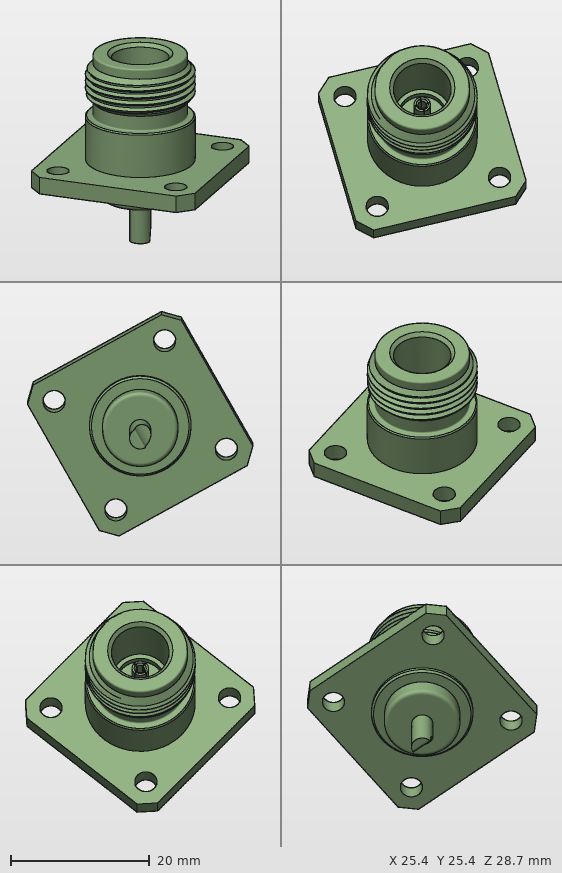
import cadquery as cq
import math

flange_side = 25.4
flange_thickness = 2.54
corner_chamfer = 2.1
mount_hole_diameter = 3.2
mount_hole_spacing = 18.26

body_radius = 7.94
body_height = 6.7
body_edge_chamfer = 0.2
neck_radius = 6.83
neck_root_fillet = 0.2
neck_length = 2.3
collar_length = 5.7
nose_length = 1.45
nose_edge_fillet = 0.25

thread_pitch = 25.4 / 24
thread_root_radius = 7.35
thread_root_flat = thread_pitch / 4
thread_half_angle = math.radians(30)
thread_lead_in = 0.23
thread_start_angle = 180
cutter_overrun = 0.05

pilot_radius = 7.33
pilot_height = 0.8
pilot_chamfer = 0.3
boss_radius = 5.45
boss_drop = 3.55
boss_fillet = 0.55

pin_radius = 1.54
overall_height = 28.7
relief_arc_radius = 3.5
relief_tip_radius = 0.4

bore_radius = 4.15
bore_depth = 9.0
bore_mouth_chamfer = 0.55
insulator_bore_radius = 3.45
insulator_bore_depth = 1.0
contact_radius = 1.17
contact_drop = 5.5
contact_mouth_radius = 0.87
contact_hole_radius = 0.6
contact_hole_depth = 4.0
contact_slot_width = 0.1
contact_slot_depth = 3.0

body_top = flange_thickness + body_height
collar_bottom = body_top + neck_length
collar_top = collar_bottom + collar_length
nose_top = collar_top + nose_length
pin_bottom = nose_top - overall_height
bore_floor = nose_top - bore_depth
cavity_floor = bore_floor - insulator_bore_depth


def cylinder(radius, bottom, top):
    return cq.Workplane("XY").workplane(offset=bottom).circle(radius).extrude(top - bottom)


def turned(profile):
    """Solid of revolution about Z from (radius, height) points."""
    return cq.Workplane("XZ").polyline(profile).close().revolve(360, (0, 0, 0), (0, 1, 0))


def make_flange():
    plate = cq.Workplane("XY").rect(flange_side, flange_side).extrude(flange_thickness)
    plate = plate.edges("|Z").chamfer(corner_chamfer)
    holes = (
        cq.Workplane("XY")
        .rect(mount_hole_spacing, mount_hole_spacing, forConstruction=True)
        .vertices()
        .circle(mount_hole_diameter / 2)
        .extrude(flange_thickness)
    )
    return plate.cut(holes)


def make_collar():
    """Threaded collar with 45 degree ends, cut by one helical groove.

    The groove starts on the +X axis and is turned with the collar to its start angle.
    """
    end_rise = body_radius - neck_radius
    collar = turned(
        [
            (0, collar_bottom),
            (neck_radius, collar_bottom),
            (body_radius, collar_bottom + end_rise),
            (body_radius, collar_top - end_rise),
            (neck_radius, collar_top),
            (0, collar_top),
        ]
    )
    start = collar_bottom + thread_lead_in
    path = cq.Wire.makeHelix(thread_pitch, collar_length, thread_root_radius, cq.Vector(0, 0, start))
    cutter_radius = body_radius + cutter_overrun
    root_half = thread_root_flat / 2
    mouth_half = root_half + (cutter_radius - thread_root_radius) * math.tan(thread_half_angle)
    groove = (
        cq.Workplane("XZ")
        .moveTo(thread_root_radius, start - root_half)
        .lineTo(cutter_radius, start - mouth_half)
        .lineTo(cutter_radius, start + mouth_half)
        .lineTo(thread_root_radius, start + root_half)
        .close()
        .sweep(cq.Workplane(path), isFrenet=True)
    )
    return collar.cut(groove).rotate((0, 0, 0), (0, 0, 1), thread_start_angle)


def make_shell():
    body = cylinder(body_radius, flange_thickness, body_top)
    body = body.faces(">Z").edges().chamfer(body_edge_chamfer)
    neck = cylinder(neck_radius, body_top, collar_bottom)
    lower = body.union(neck)
    neck_edges = lower.edges(cq.selectors.RadiusNthSelector(0))
    lower = neck_edges.edges("<Z").fillet(neck_root_fillet)
    nose = cylinder(neck_radius, collar_top, nose_top)
    nose = nose.faces(">Z").edges().fillet(nose_edge_fillet)
    return lower.union(make_collar()).union(nose)


def make_underside():
    pilot = cylinder(pilot_radius, -pilot_height, 0)
    pilot = pilot.faces("<Z").edges().chamfer(pilot_chamfer)
    boss = cylinder(boss_radius, -boss_drop, 0)
    boss = boss.faces("<Z").edges().fillet(boss_fillet)
    return pilot.union(boss)


def make_pin():
    """Pin whose +Y half is cut away by a concave arc running down to a rounded tip."""
    pin = cylinder(pin_radius, pin_bottom, 0)
    arc_bottom = pin_bottom + relief_tip_radius
    tip_diagonal = relief_tip_radius * (1 - math.sqrt(0.5))
    arc_diagonal = relief_arc_radius * math.sqrt(0.5)
    relief = (
        cq.Workplane("YZ")
        .moveTo(-relief_tip_radius, pin_bottom)
        .threePointArc((-tip_diagonal, pin_bottom + tip_diagonal), (0, arc_bottom))
        .threePointArc(
            (relief_arc_radius - arc_diagonal, arc_bottom + arc_diagonal),
            (relief_arc_radius, arc_bottom + relief_arc_radius),
        )
        .lineTo(relief_arc_radius, pin_bottom)
        .close()
        .extrude(pin_radius, both=True)
    )
    return pin.cut(relief)


def make_bore():
    """Stepped cavity with a 45 degree mouth."""
    return turned(
        [
            (0, cavity_floor),
            (insulator_bore_radius, cavity_floor),
            (insulator_bore_radius, bore_floor),
            (bore_radius, bore_floor),
            (bore_radius, nose_top - bore_mouth_chamfer),
            (bore_radius + bore_mouth_chamfer, nose_top),
            (0, nose_top),
        ]
    )


def make_contact():
    """Tubular contact with a countersunk hole and four radial slots."""
    contact_top = nose_top - contact_drop
    hole_bottom = contact_top - contact_hole_depth
    mouth_depth = contact_mouth_radius - contact_hole_radius
    contact = turned(
        [
            (0, cavity_floor),
            (contact_radius, cavity_floor),
            (contact_radius, contact_top),
            (contact_mouth_radius, contact_top),
            (contact_hole_radius, contact_top - mouth_depth),
            (contact_hole_radius, hole_bottom),
            (0, hole_bottom),
        ]
    )
    slot = (
        cq.Workplane("XY")
        .workplane(offset=contact_top - contact_slot_depth)
        .rect(2 * contact_radius, contact_slot_width)
        .extrude(contact_slot_depth)
    )
    for angle in (0, 90):
        contact = contact.cut(slot.rotate((0, 0, 0), (0, 0, 1), angle))
    return contact


result = make_flange().union(make_shell()).union(make_underside()).union(make_pin())
result = result.cut(make_bore()).union(make_contact())